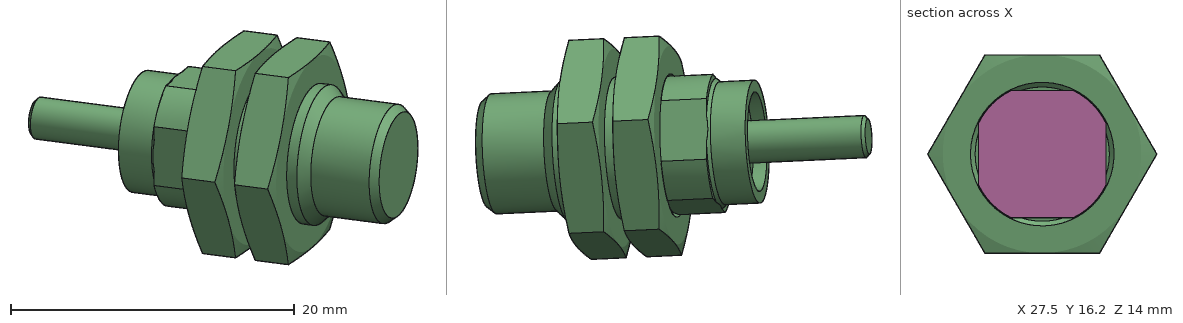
import cadquery as cq
import math

total_length = 27.5

rod_diameter = 3.0
rod_chamfer = 0.25

collar_start = 8.0
collar_diameter = 8.7
recess_diameter = 7.0
recess_depth = 1.0

flare_start = 10.5
flare_length = 0.25
flare_diameter = collar_diameter + 2 * flare_length
across_body_flats = 9.0

body_start = flare_start + flare_length
body_diameter = 10.0
shoulder_start = 21.75
tail_diameter = 8.5
shoulder_length = (body_diameter - tail_diameter) / 2

tail_bevel_length = 0.58
tail_bevel_depth = 0.47

nut_start = 14.0
nut_width = 3.0
nut_gap = 1.0
across_nut_flats = 14.0
across_nut_corners = across_nut_flats / math.cos(math.pi / 6)
nut_bevel_length = 0.25

countersink_diameter = 10.12
countersink_depth = 0.33


def revolve_profile(points):
    """Revolve a closed (X, radius) outline about the X axis."""
    return cq.Workplane("XY").polyline(points).close().revolve(360, (0, 0, 0), (1, 0, 0))


def make_turned_body():
    rod_radius = rod_diameter / 2
    collar_radius = collar_diameter / 2
    recess_radius = recess_diameter / 2
    flare_radius = flare_diameter / 2
    body_radius = body_diameter / 2
    tail_radius = tail_diameter / 2
    recess_floor = collar_start + recess_depth
    return revolve_profile([
        (0, 0),
        (0, rod_radius - rod_chamfer),
        (rod_chamfer, rod_radius),
        (recess_floor, rod_radius),
        (recess_floor, recess_radius),
        (collar_start, recess_radius),
        (collar_start, collar_radius),
        (flare_start, collar_radius),
        (body_start, flare_radius),
        (body_start, body_radius),
        (shoulder_start, body_radius),
        (shoulder_start + shoulder_length, tail_radius),
        (total_length - tail_bevel_length, tail_radius),
        (total_length, tail_radius - tail_bevel_depth),
        (total_length, 0),
    ])


def make_flatted_core(start, length):
    """Body-diameter bar with four flats, running along X."""
    plane = cq.Workplane("YZ", origin=(start, 0, 0))
    bar = plane.circle(body_diameter / 2).extrude(length)
    square = plane.rect(across_body_flats, across_body_flats).extrude(length)
    return bar.intersect(square)


def cut_body_flats(body):
    """Mill four flats between the collar and the first nut."""
    length = nut_start - flare_start
    blank = cq.Workplane("YZ", origin=(flare_start, 0, 0)).rect(body_diameter, body_diameter).extrude(length)
    return body.cut(blank.cut(make_flatted_core(flare_start, length)))


def make_countersink_gap():
    """45-degree countersink at the first nut face, less the flatted body inside it."""
    outer_radius = countersink_diameter / 2
    floor = nut_start + countersink_depth
    cone = revolve_profile([
        (nut_start, 0),
        (nut_start, outer_radius),
        (floor, outer_radius - countersink_depth),
        (floor, 0),
    ])
    return cone.cut(make_flatted_core(nut_start, countersink_depth))


def make_nut(start):
    """Hex nut with corners on the Y axis and both faces bevelled at the corners."""
    end = start + nut_width
    face_radius = across_nut_flats / 2
    corner_radius = across_nut_corners / 2
    hexagon = cq.Workplane("YZ", origin=(start, 0, 0)).polygon(6, across_nut_corners).extrude(nut_width)
    bevel_envelope = revolve_profile([
        (start, 0),
        (start, face_radius),
        (start + nut_bevel_length, corner_radius),
        (end - nut_bevel_length, corner_radius),
        (end, face_radius),
        (end, 0),
    ])
    return hexagon.intersect(bevel_envelope)


result = cut_body_flats(make_turned_body())
for nut_index in range(2):
    result = result.union(make_nut(nut_start + nut_index * (nut_width + nut_gap)))
result = result.cut(make_countersink_gap())